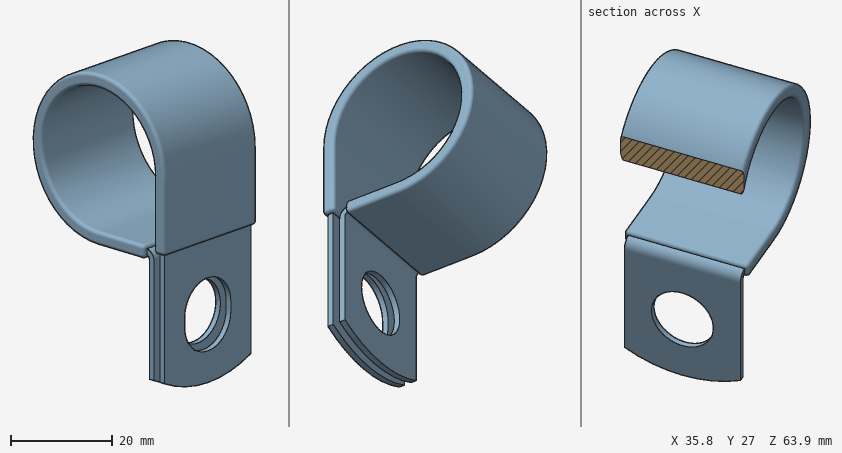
import cadquery as cq

total_height = 63.9
loop_radius = 17.9
cushion_thickness = 2.8
cushion_width = 27.0
cushion_rounding = 0.75
upright_end_depth = 16.1
foot_length = 12.4

strap_thickness = 1.3
strap_width = 25.25
tab_gap = 1.55
bend_inner_radius = 1.0
hole_diameter = 13.4
slot_length = 15.35
hole_height = 14.3
tip_rise = 2.95

inner_radius = loop_radius - cushion_thickness
middle_radius = loop_radius - cushion_thickness / 2
strap_inner = middle_radius - strap_thickness / 2
strap_outer = middle_radius + strap_thickness / 2
tip_z = loop_radius - total_height
bend_outer_radius = bend_inner_radius + strap_thickness
near_tab_outer = strap_inner - tab_gap
near_tab_inner = near_tab_outer - strap_thickness
bend_x = near_tab_outer - bend_outer_radius
bend_z = -strap_inner - bend_outer_radius
diagonal = 0.5 ** 0.5


def extrude_centred(outline, width):
    """Extrude a closed XZ outline symmetrically about Y = 0."""
    return outline.close().extrude(width / 2, both=True)


def make_cushion():
    """Three-quarter loop with a straight leg at each end and rounded edges."""
    outline = (
        cq.Workplane("XZ")
        .moveTo(loop_radius, -upright_end_depth)
        .lineTo(loop_radius, 0)
        .threePointArc((-loop_radius * diagonal, loop_radius * diagonal), (0, -loop_radius))
        .lineTo(foot_length, -loop_radius)
        .lineTo(foot_length, -inner_radius)
        .lineTo(0, -inner_radius)
        .threePointArc((-inner_radius * diagonal, inner_radius * diagonal), (inner_radius, 0))
        .lineTo(inner_radius, -upright_end_depth)
    )
    cushion = extrude_centred(outline, cushion_width)
    return round_cushion(cushion)


def round_cushion(cushion):
    """Round the side rims and the edges of both leg ends."""
    foot_end = cq.NearestToPointSelector((foot_length, 0, -middle_radius))
    upright_end = cq.NearestToPointSelector((middle_radius, 0, -upright_end_depth))
    side_faces = cq.selectors.StringSyntaxSelector("<Y or >Y")
    return cushion.faces(side_faces + foot_end + upright_end).edges().fillet(cushion_rounding)


def make_far_tab():
    """Straight strap end continuing the upright cushion leg."""
    outline = (
        cq.Workplane("XZ")
        .moveTo(strap_inner, 0)
        .lineTo(strap_outer, 0)
        .lineTo(strap_outer, tip_z)
        .lineTo(strap_inner, tip_z)
    )
    return extrude_centred(outline, strap_width)


def make_near_tab():
    """Strap end leaving the horizontal cushion leg and bending downward."""
    outline = (
        cq.Workplane("XZ")
        .moveTo(0, -strap_inner)
        .lineTo(bend_x, -strap_inner)
        .threePointArc(
            (bend_x + bend_outer_radius * diagonal, bend_z + bend_outer_radius * diagonal),
            (near_tab_outer, bend_z),
        )
        .lineTo(near_tab_outer, tip_z)
        .lineTo(near_tab_inner, tip_z)
        .lineTo(near_tab_inner, bend_z)
        .threePointArc(
            (bend_x + bend_inner_radius * diagonal, bend_z + bend_inner_radius * diagonal),
            (bend_x, -strap_outer),
        )
        .lineTo(0, -strap_outer)
    )
    return extrude_centred(outline, strap_width)


def make_tab_envelope():
    """Block along X whose lower side is the curved tip of the tabs."""
    half_width = strap_width / 2
    return (
        cq.Workplane("YZ")
        .moveTo(-half_width, 0)
        .lineTo(-half_width, tip_z + tip_rise)
        .threePointArc((0, tip_z), (half_width, tip_z + tip_rise))
        .lineTo(half_width, 0)
        .close()
        .extrude(loop_radius)
    )


def bolt_axis():
    """Workplane facing along X, centred on the bolt."""
    return cq.Workplane("YZ").center(0, tip_z + hole_height)


bolt_hole = bolt_axis().circle(hole_diameter / 2).extrude(loop_radius)
bolt_slot = bolt_axis().slot2D(slot_length, hole_diameter, angle=90).extrude(loop_radius)
far_tab = make_far_tab().cut(bolt_slot)
near_tab = make_near_tab().cut(bolt_hole)
tabs = far_tab.union(near_tab).intersect(make_tab_envelope())
result = make_cushion().union(tabs)